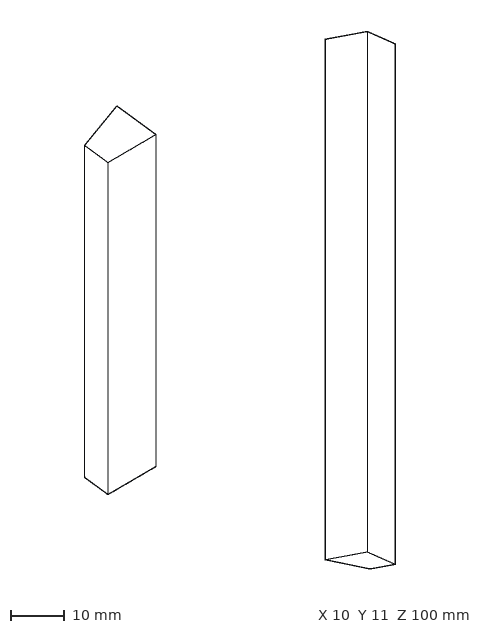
import cadquery as cq

length = 100.0
depth = 11.0
back_width = 10.0
front_width = 6.0

section = [
    (-front_width / 2, -depth / 2),
    (front_width / 2, -depth / 2),
    (back_width / 2, depth / 2),
    (-back_width / 2, depth / 2),
]

result = cq.Workplane("XY").polyline(section).close().extrude(length)